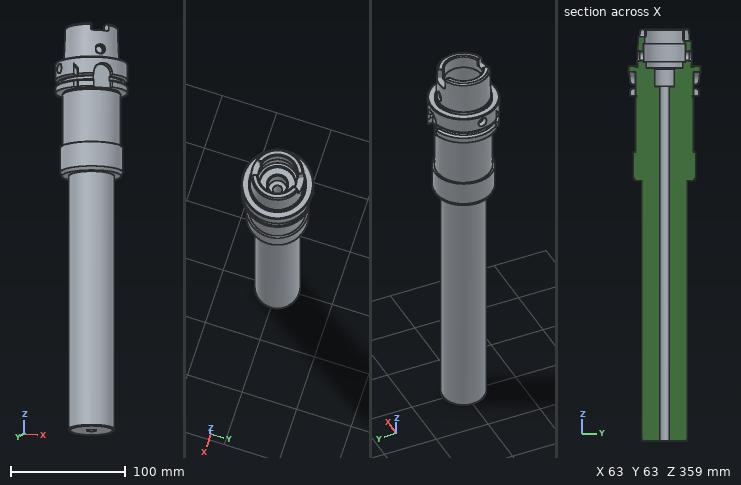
import cadquery as cq
import math

TOTAL_LENGTH = 359.0
TAPER_HEIGHT = 32.0
BOTTOM_Z = TAPER_HEIGHT - TOTAL_LENGTH

TAPER_TOP_RADIUS = 23.0
TAPER_BASE_RADIUS = 48.5 / 2
TAPER_TOP_CHAMFER = 1.5
RELIEF_RADIUS = 23.7
RELIEF_HEIGHT = 1.8
FACE_RECESS_RADIUS = 25.0
FACE_RECESS_DEPTH = 1.0

FLANGE_RADIUS = 63.0 / 2
FLANGE_HEIGHT = 26.2
FLANGE_CHAMFER = 0.7
GROOVE_ROOT_RADIUS = 26.5
GROOVE_BEVEL_RADIUS = 29.0
GROOVE_CENTRE_Z = -18.0
GROOVE_MOUTH_WIDTH = 6.5
GROOVE_ROOT_WIDTH = 3.2

NECK_RADIUS = 25.5
NECK_RELIEF_RADIUS = 24.5
NECK_RELIEF_HEIGHT = 0.7
NECK_RELIEF_BEVEL = 1.0
COLLAR_RADIUS = 55.0 / 2
COLLAR_TOP_Z = -75.0
COLLAR_BOTTOM_Z = -100.0
COLLAR_CHAMFER_RADIAL = 1.8
COLLAR_CHAMFER_HEIGHT = 3.2
SHAFT_RADIUS = 40.0 / 2
SHAFT_CHAMFER = 1.0

BORE_RADIUS = 34.0 / 2
BORE_MOUTH_CHAMFER = 1.0
CLAMP_EDGE_Z = 19.5
CLAMP_CAVITY_RADIUS = 18.3
CLAMP_CAVITY_BOTTOM_Z = 3.5
BORE_FLOOR_RADIUS = 15.8
BORE_FLOOR_Z = -1.8
COUNTERBORE_RADIUS = 17.0 / 2
COUNTERBORE_CHAMFER = 1.0
COUNTERBORE_FLOOR_Z = -18.0
THROUGH_HOLE_RADIUS = 8.3 / 2

SLOT_WIDTH = 11.5
SLOT_MOUTH_WIDTH = 19.5
SLOT_FLARE_START = 17.2
SLOT_FLOOR_FILLET = 1.5
SLOT_TOP_BEVEL = 1.0
SLOT_FRONT_DEPTH = 6.5
SLOT_REAR_DEPTH = 10.0

CROSS_HOLE_RADIUS = 7.5 / 2
CROSS_HOLE_Z = 8.5
CROSS_COUNTERBORE_RADIUS = 4.3
CROSS_COUNTERBORE_FLOOR = 21.5

KEYWAY_WIDTH = 17.0
KEYWAY_TOP_Z = -5.5
KEYWAY_FLOOR = 25.5

POCKET_RADIUS = 8.3 / 2
POCKET_Z = -7.2
POCKET_FLOOR = 26.0
POCKET_ANGLE = 187.0

NOTCH_CORNER = 20.5
NOTCH_INNER_Z = -10.5
NOTCH_SLOPE = 56.0


def revolve_profile(points):
    return cq.Workplane("XZ").polyline(points).close().revolve(360, (0, 0, 0), (0, 1, 0))


def outer_body():
    mouth_top = GROOVE_CENTRE_Z + GROOVE_MOUTH_WIDTH / 2
    mouth_bottom = GROOVE_CENTRE_Z - GROOVE_MOUTH_WIDTH / 2
    root_top = GROOVE_CENTRE_Z + GROOVE_ROOT_WIDTH / 2
    root_bottom = GROOVE_CENTRE_Z - GROOVE_ROOT_WIDTH / 2
    flange_bottom = -FLANGE_HEIGHT
    return revolve_profile([
        (0, TAPER_HEIGHT),
        (TAPER_TOP_RADIUS - TAPER_TOP_CHAMFER, TAPER_HEIGHT),
        (TAPER_TOP_RADIUS, TAPER_HEIGHT - TAPER_TOP_CHAMFER),
        (TAPER_BASE_RADIUS, RELIEF_HEIGHT),
        (RELIEF_RADIUS, RELIEF_HEIGHT),
        (RELIEF_RADIUS, -FACE_RECESS_DEPTH),
        (FACE_RECESS_RADIUS, -FACE_RECESS_DEPTH),
        (FACE_RECESS_RADIUS, 0),
        (FLANGE_RADIUS - FLANGE_CHAMFER, 0),
        (FLANGE_RADIUS, -FLANGE_CHAMFER),
        (FLANGE_RADIUS, mouth_top),
        (GROOVE_BEVEL_RADIUS, root_top),
        (GROOVE_ROOT_RADIUS, root_top),
        (GROOVE_ROOT_RADIUS, root_bottom),
        (GROOVE_BEVEL_RADIUS, root_bottom),
        (FLANGE_RADIUS, mouth_bottom),
        (FLANGE_RADIUS, flange_bottom),
        (NECK_RELIEF_RADIUS, flange_bottom),
        (NECK_RELIEF_RADIUS, flange_bottom - NECK_RELIEF_HEIGHT),
        (NECK_RADIUS, flange_bottom - NECK_RELIEF_HEIGHT - NECK_RELIEF_BEVEL),
        (NECK_RADIUS, COLLAR_TOP_Z),
        (COLLAR_RADIUS, COLLAR_TOP_Z),
        (COLLAR_RADIUS, COLLAR_BOTTOM_Z + COLLAR_CHAMFER_HEIGHT),
        (COLLAR_RADIUS - COLLAR_CHAMFER_RADIAL, COLLAR_BOTTOM_Z),
        (SHAFT_RADIUS, COLLAR_BOTTOM_Z),
        (SHAFT_RADIUS, BOTTOM_Z + SHAFT_CHAMFER),
        (SHAFT_RADIUS - SHAFT_CHAMFER, BOTTOM_Z),
        (0, BOTTOM_Z),
    ])


def bore():
    return revolve_profile([
        (0, TAPER_HEIGHT),
        (BORE_RADIUS + BORE_MOUTH_CHAMFER, TAPER_HEIGHT),
        (BORE_RADIUS, TAPER_HEIGHT - BORE_MOUTH_CHAMFER),
        (BORE_RADIUS, CLAMP_EDGE_Z),
        (CLAMP_CAVITY_RADIUS, CLAMP_EDGE_Z),
        (CLAMP_CAVITY_RADIUS, CLAMP_CAVITY_BOTTOM_Z),
        (BORE_FLOOR_RADIUS, CLAMP_CAVITY_BOTTOM_Z),
        (BORE_FLOOR_RADIUS, BORE_FLOOR_Z),
        (COUNTERBORE_RADIUS + COUNTERBORE_CHAMFER, BORE_FLOOR_Z),
        (COUNTERBORE_RADIUS, BORE_FLOOR_Z - COUNTERBORE_CHAMFER),
        (COUNTERBORE_RADIUS, COUNTERBORE_FLOOR_Z),
        (THROUGH_HOLE_RADIUS, COUNTERBORE_FLOOR_Z),
        (THROUGH_HOLE_RADIUS, BOTTOM_Z),
        (0, BOTTOM_Z),
    ])


def side_plane(angle, distance):
    """Plane facing outward at the given angle about Z; its local y runs along +Z."""
    direction = math.radians(angle)
    normal = (math.cos(direction), math.sin(direction), 0)
    origin = (distance * normal[0], distance * normal[1], 0)
    horizontal = (-normal[1], normal[0], 0)
    return cq.Workplane(cq.Plane(origin, horizontal, normal))


def drive_slot(angle, depth):
    """Rim slot with rounded floor corners, bevelled rim and flanks flaring through the outer wall."""
    half = SLOT_WIDTH / 2
    half_mouth = SLOT_MOUTH_WIDTH / 2
    slot = (
        cq.Workplane("XY", origin=(0, 0, TAPER_HEIGHT - depth))
        .polyline([
            (0, -half),
            (SLOT_FLARE_START, -half),
            (TAPER_BASE_RADIUS, -half_mouth),
            (FLANGE_RADIUS, -half_mouth),
            (FLANGE_RADIUS, half_mouth),
            (TAPER_BASE_RADIUS, half_mouth),
            (SLOT_FLARE_START, half),
            (0, half),
        ])
        .close()
        .extrude(depth)
        .faces("<Z")
        .edges()
        .fillet(SLOT_FLOOR_FILLET)
    )
    bevel = (
        cq.Workplane("YZ")
        .polyline([
            (-half - SLOT_TOP_BEVEL, TAPER_HEIGHT),
            (-half, TAPER_HEIGHT - SLOT_TOP_BEVEL),
            (half, TAPER_HEIGHT - SLOT_TOP_BEVEL),
            (half + SLOT_TOP_BEVEL, TAPER_HEIGHT),
        ])
        .close()
        .extrude(TAPER_BASE_RADIUS)
    )
    return slot.union(bevel).rotate((0, 0, 0), (0, 0, 1), angle)


def cross_cylinder(radius, half_length):
    return (
        cq.Workplane("XZ", origin=(0, 0, CROSS_HOLE_Z))
        .circle(radius)
        .extrude(half_length, both=True)
    )


def cross_hole():
    """Hole through both walls of the taper, counterbored at each outer end."""
    hole = cross_cylinder(CROSS_HOLE_RADIUS, FLANGE_RADIUS)
    counterbores = cross_cylinder(CROSS_COUNTERBORE_RADIUS, FLANGE_RADIUS).cut(
        cross_cylinder(CROSS_COUNTERBORE_RADIUS, CROSS_COUNTERBORE_FLOOR)
    )
    return hole.union(counterbores)


def keyway(angle):
    half = KEYWAY_WIDTH / 2
    arch_z = KEYWAY_TOP_Z - half
    return (
        side_plane(angle, KEYWAY_FLOOR)
        .moveTo(-half, -FLANGE_HEIGHT)
        .lineTo(-half, arch_z)
        .threePointArc((0, KEYWAY_TOP_Z), (half, arch_z))
        .lineTo(half, -FLANGE_HEIGHT)
        .close()
        .extrude(FLANGE_RADIUS - KEYWAY_FLOOR)
    )


def round_pocket():
    return (
        side_plane(POCKET_ANGLE, POCKET_FLOOR)
        .center(0, POCKET_Z)
        .circle(POCKET_RADIUS)
        .extrude(FLANGE_RADIUS - POCKET_FLOOR)
    )


def orientation_notch():
    """Corner cut with one wall facing -X, one facing -Y and a roof rising towards -X."""
    reach = FLANGE_RADIUS - NOTCH_CORNER
    roof_rise = reach * math.tan(math.radians(NOTCH_SLOPE))
    return (
        cq.Workplane("XZ", origin=(0, -NOTCH_CORNER, 0))
        .polyline([
            (-NOTCH_CORNER, -FLANGE_HEIGHT),
            (-NOTCH_CORNER, NOTCH_INNER_Z),
            (-FLANGE_RADIUS, NOTCH_INNER_Z + roof_rise),
            (-FLANGE_RADIUS, -FLANGE_HEIGHT),
        ])
        .close()
        .extrude(reach)
    )


result = outer_body().cut(bore()).cut(cross_hole()).cut(round_pocket()).cut(orientation_notch())
for slot_angle, slot_depth in ((-90, SLOT_FRONT_DEPTH), (90, SLOT_REAR_DEPTH)):
    result = result.cut(drive_slot(slot_angle, slot_depth)).cut(keyway(slot_angle))